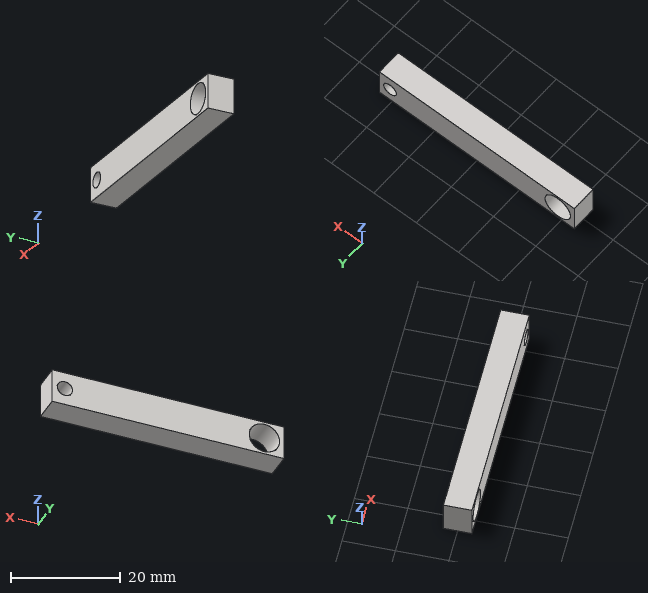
import cadquery as cq

length = 46.1
depth = 5.4
height = 7.0

large_hole_diameter = 6.0
large_hole_from_left = 3.9
small_hole_diameter = 3.0
small_hole_from_right = 2.55


def cross_hole(x, diameter):
    """Cylinder along Y that spans the full depth of the bar."""
    return (
        cq.Workplane("XZ")
        .center(x, 0)
        .circle(diameter / 2)
        .extrude(depth / 2, both=True)
    )


bar = cq.Workplane("XY").box(length, depth, height)
large_hole = cross_hole(-length / 2 + large_hole_from_left, large_hole_diameter)
small_hole = cross_hole(length / 2 - small_hole_from_right, small_hole_diameter)

result = bar.cut(large_hole).cut(small_hole)